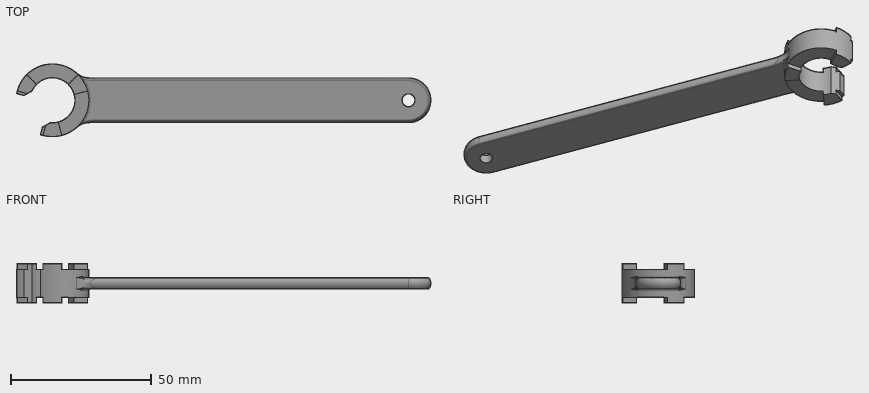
import cadquery as cq
import math

ring_outer_radius = 13.0
ring_inner_radius = 8.0
ring_height = 10.0

mouth_direction = 210.0
mouth_width = 13.0

lug_height = 14.0
lug_half_angle = 15.0
lug_pitch = 120.0
lug_directions = [mouth_direction + lug_pitch * (i + 0.5) for i in range(3)]
tip_extension = 1.0

handle_width = 16.0
handle_thickness = 4.0
edge_radius = 3.0
edge_bulge = edge_radius - math.sqrt(edge_radius**2 - (handle_thickness / 2) ** 2)
handle_end_center_x = 127.0
hang_hole_diameter = 4.5
side_root_fillet_radius = 7.5
face_fillet_radius = 0.5

reach = 2 * ring_outer_radius


def polar(radius, angle):
    """Point at a radius and an angle in degrees."""
    a = math.radians(angle)
    return radius * math.cos(a), radius * math.sin(a)


def disc(radius, height):
    """Round plate on the Z axis, centred on the XY plane."""
    return cq.Workplane("XY").circle(radius).extrude(height / 2, both=True)


def sector(start_angle, end_angle, height):
    """Triangular wedge from the ring axis, for sectors well below 180 degrees."""
    return (
        cq.Workplane("XY")
        .polyline([(0, 0), polar(reach, start_angle), polar(reach, end_angle)])
        .close()
        .extrude(height / 2, both=True)
    )


def mouth_gap():
    """Wedge that opens the ring, its sides parallel to the lug ends beside the mouth."""
    half_angle = lug_pitch / 2 - lug_half_angle
    apex_x, apex_y = polar(tip_extension / math.sin(math.radians(half_angle)), mouth_direction)
    wedge = sector(mouth_direction - half_angle, mouth_direction + half_angle, lug_height)
    return wedge.translate((apex_x, apex_y, 0))


def mouth_slot():
    """Parallel-sided slot from the ring axis out through the mouth."""
    return (
        cq.Workplane("XY")
        .rect(reach, mouth_width)
        .extrude(lug_height / 2, both=True)
        .translate((reach / 2, 0, 0))
        .rotate((0, 0, 0), (0, 0, 1), mouth_direction)
    )


def handle_blank():
    """Bar starting at the ring axis, with the bulged edge carried round its end."""
    half_width = handle_width / 2
    half_thickness = handle_thickness / 2
    flat_half_width = half_width - edge_bulge
    bar = (
        cq.Workplane("YZ")
        .moveTo(-flat_half_width, -half_thickness)
        .lineTo(flat_half_width, -half_thickness)
        .threePointArc((half_width, 0), (flat_half_width, half_thickness))
        .lineTo(-flat_half_width, half_thickness)
        .threePointArc((-half_width, 0), (-flat_half_width, -half_thickness))
        .close()
        .extrude(handle_end_center_x)
    )
    round_end = (
        cq.Workplane("XZ")
        .moveTo(0, -half_thickness)
        .lineTo(flat_half_width, -half_thickness)
        .threePointArc((half_width, 0), (flat_half_width, half_thickness))
        .lineTo(0, half_thickness)
        .close()
        .revolve(360, (0, 0, 0), (0, 1, 0))
        .translate((handle_end_center_x, 0, 0))
    )
    return bar.union(round_end)


def bounds_flat_face(edge):
    """True for an edge lying in the upper or lower flat face of the handle."""
    return math.isclose(abs(edge.Center().z), handle_thickness / 2, rel_tol=1e-3)


def ring_with_handle():
    """Ring and handle, filleted where the bulged edges meet the ring, then around the flat faces."""
    body = disc(ring_outer_radius, ring_height).union(handle_blank())
    root_edges = cq.selectors.BoxSelector(
        (0, -handle_width, -handle_thickness),
        (ring_outer_radius - edge_bulge, handle_width, handle_thickness),
        boundingbox=True,
    )
    body = body.edges(root_edges).fillet(side_root_fillet_radius)
    return body.edges().filter(bounds_flat_face).fillet(face_fillet_radius)


def lugs():
    """Three tall sectors of the ring's outer disc; the bore is cut later."""
    wedges = cq.Workplane("XY")
    for direction in lug_directions:
        wedges = wedges.add(sector(direction - lug_half_angle, direction + lug_half_angle, lug_height))
    return disc(ring_outer_radius, lug_height).intersect(wedges.combine())


def hang_hole():
    return disc(hang_hole_diameter / 2, lug_height).translate((handle_end_center_x, 0, 0))


result = (
    ring_with_handle()
    .union(lugs())
    .cut(disc(ring_inner_radius, lug_height))
    .cut(mouth_gap())
    .cut(mouth_slot())
    .cut(hang_hole())
)